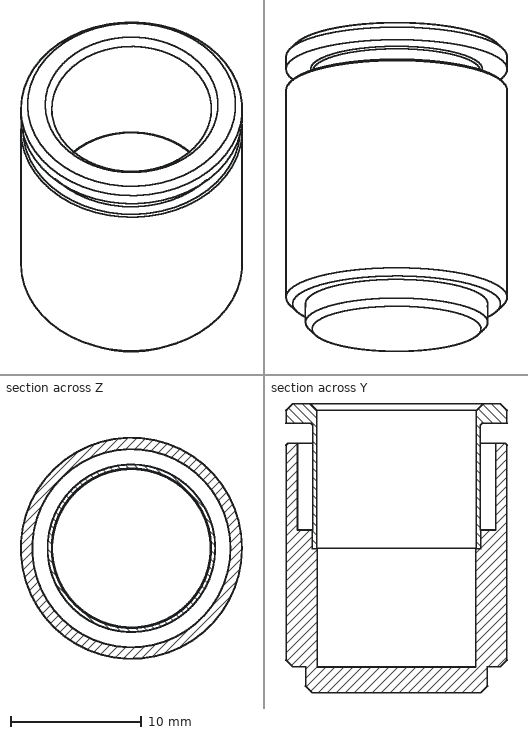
import cadquery as cq

height = 22.2
outer_dia = 17.0
edge_chamfer = 0.5

foot_dia = 14.0
foot_height = 2
housing_top = 19.18
housing_top_chamfer = 0.15
mouth_dia = 15.2
mouth_depth = 6.65
bore_dia = 12.15
floor_z = foot_height

neck_dia = 12.9
sleeve_bore_dia = 12.25
sleeve_bottom = height / 2
flange_thickness = 1.5
neck_relief = 0.15
flange_bottom = height - flange_thickness


def disc(diameter, bottom, top):
    """Vertical cylinder on the Z axis between two heights."""
    return cq.Workplane("XY").workplane(offset=bottom).circle(diameter / 2).extrude(top - bottom)


def make_housing():
    foot = disc(foot_dia, 0, foot_height).faces("<Z").chamfer(edge_chamfer)
    barrel = disc(outer_dia, foot_height, housing_top)
    barrel = barrel.faces("<Z").chamfer(edge_chamfer)
    barrel = barrel.faces(">Z").chamfer(housing_top_chamfer)
    bore = disc(bore_dia, floor_z, housing_top)
    sleeve_seat = disc(neck_dia, sleeve_bottom, housing_top)
    mouth = disc(mouth_dia, housing_top - mouth_depth, housing_top)
    return foot.union(barrel).cut(bore).cut(sleeve_seat).cut(mouth)


def make_sleeve():
    neck = disc(neck_dia, sleeve_bottom, flange_bottom)
    flange = disc(outer_dia, flange_bottom, height).faces(">Z").chamfer(edge_chamfer)
    neck_radius = neck_dia / 2
    relief_cone = cq.Solid.makeCone(
        neck_radius,
        neck_radius + neck_relief,
        neck_relief,
        pnt=cq.Vector(0, 0, flange_bottom - neck_relief),
    )
    bore = disc(sleeve_bore_dia, sleeve_bottom, height)
    sleeve = neck.union(flange).union(cq.Workplane(relief_cone)).cut(bore)
    bore_rim = sleeve.faces(">Z").edges(cq.selectors.RadiusNthSelector(0))
    return bore_rim.chamfer(edge_chamfer)


housing = make_housing()
sleeve = make_sleeve()

result = cq.Compound.makeCompound([housing.val(), sleeve.val()])